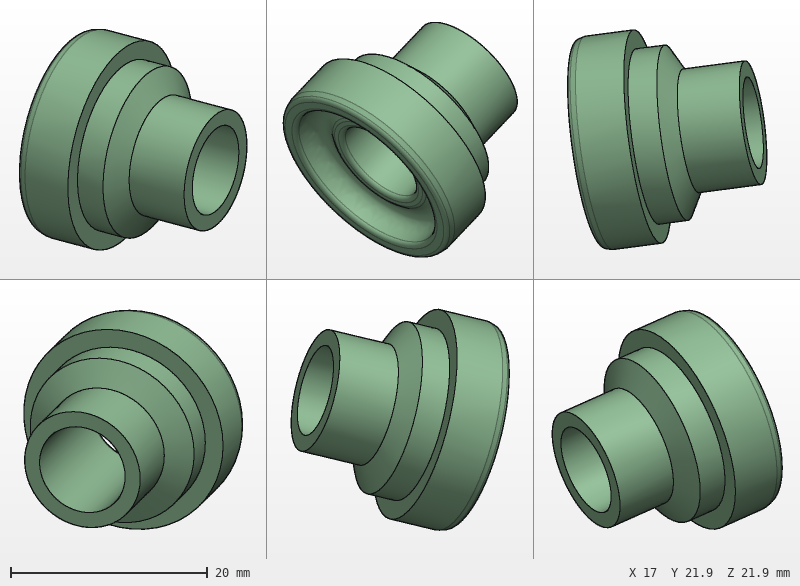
import cadquery as cq
import math

total_length = 17.0
flange_length = 6.0
hub_end = 9.0
rim_taper_length = 0.96

flange_radius = 10.95
hub_radius = 18.0 / 2
spigot_radius = 12.7 / 2
bore_radius = 9.4 / 2
groove_outer_radius = 8.91
groove_inner_radius = 6.07
ring_flat_radius = 5.72

edge_round = 0.5
rim_taper = math.radians(15)
shoulder_angle = math.radians(60)

ring_recess = 2.3
groove_depth = 3.02
groove_floor_radius = 7.15


def body():
    """Stepped solid of revolution with a tapered, rounded rim."""
    shoulder_length = (hub_radius - spigot_radius) / math.tan(shoulder_angle)
    taper_drop = rim_taper_length * math.tan(rim_taper)
    outline = (
        cq.Workplane("XY")
        .lineTo(0, flange_radius - taper_drop)
        .lineTo(rim_taper_length, flange_radius)
        .lineTo(flange_length, flange_radius)
        .lineTo(flange_length, hub_radius)
        .lineTo(hub_end, hub_radius)
        .lineTo(hub_end + shoulder_length, spigot_radius)
        .lineTo(total_length, spigot_radius)
        .lineTo(total_length, 0)
        .close()
    )
    solid = outline.revolve(360, (0, 0, 0), (1, 0, 0))
    return solid.faces("<X").edges().fillet(edge_round)


def recess_and_bore():
    """Through bore, recessed ring and smoothly curved groove, as one cutter."""
    ring_slope = math.asin((groove_inner_radius - ring_flat_radius) / edge_round)
    ring_edge_x = ring_recess + edge_round * (1 - math.cos(ring_slope))
    ring_mid = (
        ring_recess + edge_round * (1 - math.cos(ring_slope / 2)),
        ring_flat_radius + edge_round * math.sin(ring_slope / 2),
    )
    quarter_mid = edge_round * (1 - math.cos(math.radians(45)))
    profile = (
        cq.Workplane("XY")
        .lineTo(0, groove_outer_radius + edge_round)
        .threePointArc(
            (quarter_mid, groove_outer_radius + quarter_mid),
            (edge_round, groove_outer_radius),
        )
        .spline(
            [(groove_depth, groove_floor_radius), (ring_edge_x, groove_inner_radius)],
            tangents=[(1, 0), (-math.sin(ring_slope), -math.cos(ring_slope))],
            includeCurrent=True,
        )
        .threePointArc(ring_mid, (ring_recess, ring_flat_radius))
        .lineTo(ring_recess, bore_radius + edge_round)
        .threePointArc(
            (ring_recess + quarter_mid, bore_radius + quarter_mid),
            (ring_recess + edge_round, bore_radius),
        )
        .lineTo(total_length, bore_radius)
        .lineTo(total_length, 0)
        .close()
    )
    return profile.revolve(360, (0, 0, 0), (1, 0, 0))


result = body().cut(recess_and_bore())